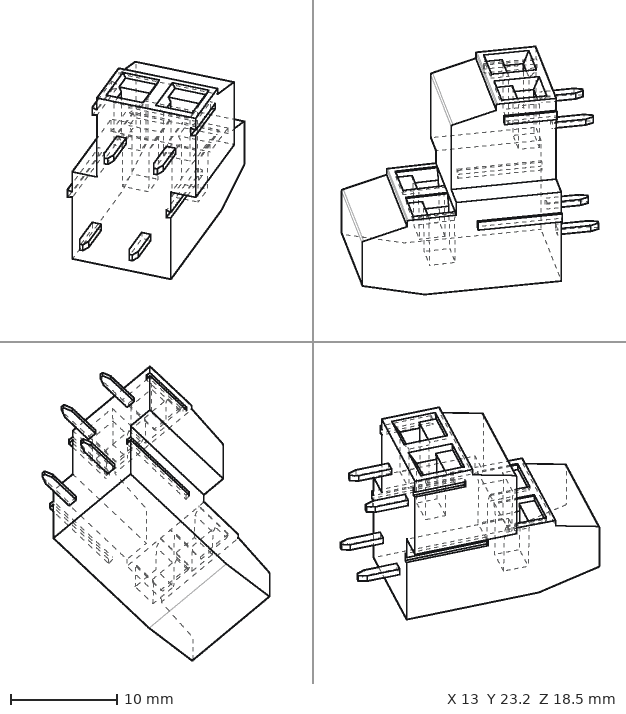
import cadquery as cq
import math


POLES = 2
TIER_WIDTH = 10.0
PITCH = TIER_WIDTH / POLES
TIER_SHIFT = PITCH / 2
TOTAL_HEIGHT = 18.5
LOWER_HEIGHT = 9.7
OVERALL_DEPTH = 23.2
LOWER_DEPTH = 19.16
UPPER_DEPTH = 10.1
SLOPE_RUN = 4.35
STEP_HEIGHT = 0.65
SLOPE = math.radians(15)
BOTTOM_SLOPE_RUN = 6.03
SHELF_HEIGHT = 8.33
SHELF_TILT = 1.0
NOSE_RADIUS = 0.2
STEP_RADIUS = 0.1

RIB_HEIGHT = 0.49
RIB_ROOT_WIDTH = 0.58
RIB_CROWN_WIDTH = 0.85
LOWER_RIB = {"z": 7.17, "length": 8.1}
UPPER_RIB = {"z": 16.9, "length": 5.05}

PIN_LENGTH = OVERALL_DEPTH - LOWER_DEPTH
PIN_WIDTH = 0.93
PIN_THICKNESS = 0.65
PIN_TIP_LENGTH = 0.8
PIN_TIP_WIDTH = 0.32
LOWER_PIN_Z = 4.22
UPPER_PIN_Z = 14.38

POCKET_WIDTH = 3.7
SHAFT_WIDTH = 2.67
FUNNEL_DEPTH = 1.07
POCKET_DEPTH = 5.8
LEDGE_DEPTH = 0.55
UPPER_POCKET_FRONT = 5.1
UPPER_POCKET_LENGTH = 4.32
UPPER_LEDGE_LENGTH = 1.7
UPPER_REAR_FLARE = 0.63
LOWER_POCKET_FRONT = 14.1
LOWER_LEDGE_LENGTH = 1.55
LOWER_RIM_DEPTH = 0.15


def side_prism(outline, x_start):
    """Extrude a Y-Z outline across one tier width."""
    return cq.Workplane("YZ", origin=(x_start, 0, 0)).polyline(outline).close().extrude(TIER_WIDTH)


def round_edge(body, y, z, radius):
    """Round the edge along X that passes nearest to (y, z)."""
    x_middle = body.val().BoundingBox().center.x
    return body.edges("|X").edges(cq.selectors.NearestToPointSelector((x_middle, y, z))).fillet(radius)


def shelf_z(y):
    """Height of the tilted lower top face."""
    return SHELF_HEIGHT - (y - UPPER_DEPTH) * math.tan(math.radians(SHELF_TILT))


def lower_tier():
    step_y = LOWER_DEPTH - SLOPE_RUN
    step_z = shelf_z(step_y)
    nose_top = step_z - STEP_HEIGHT - SLOPE_RUN * math.tan(SLOPE)
    nose_bottom = BOTTOM_SLOPE_RUN * math.tan(SLOPE)
    body = side_prism([
        (0, 0),
        (LOWER_DEPTH - BOTTOM_SLOPE_RUN, 0),
        (LOWER_DEPTH, nose_bottom),
        (LOWER_DEPTH, nose_top),
        (step_y, step_z - STEP_HEIGHT),
        (step_y, step_z),
        (UPPER_DEPTH, SHELF_HEIGHT),
        (UPPER_DEPTH, LOWER_HEIGHT),
        (0, LOWER_HEIGHT),
    ], 0)
    body = round_edge(body, LOWER_DEPTH, nose_bottom, NOSE_RADIUS)
    body = round_edge(body, LOWER_DEPTH, nose_top, NOSE_RADIUS)
    return round_edge(body, step_y, step_z, STEP_RADIUS)


def upper_tier():
    step_y = UPPER_DEPTH - SLOPE_RUN
    nose_top = TOTAL_HEIGHT - STEP_HEIGHT - SLOPE_RUN * math.tan(SLOPE)
    body = side_prism([
        (0, LOWER_HEIGHT),
        (UPPER_DEPTH, LOWER_HEIGHT),
        (UPPER_DEPTH, nose_top),
        (step_y, TOTAL_HEIGHT - STEP_HEIGHT),
        (step_y, TOTAL_HEIGHT),
        (0, TOTAL_HEIGHT),
    ], TIER_SHIFT)
    body = round_edge(body, UPPER_DEPTH, nose_top, NOSE_RADIUS)
    return round_edge(body, step_y, TOTAL_HEIGHT, STEP_RADIUS)


def dovetail(x, rib):
    """Dovetail bar from the pin face, its root at x and its wider crown towards -X."""
    outline = [
        (x, rib["z"] - RIB_ROOT_WIDTH / 2),
        (x, rib["z"] + RIB_ROOT_WIDTH / 2),
        (x - RIB_HEIGHT, rib["z"] + RIB_CROWN_WIDTH / 2),
        (x - RIB_HEIGHT, rib["z"] - RIB_CROWN_WIDTH / 2),
    ]
    return cq.Workplane("XZ").polyline(outline).close().extrude(-rib["length"])


def pin(x, z):
    """Flat pin with a tapered tip, pointing towards -Y."""
    shoulder_y = PIN_TIP_LENGTH - PIN_LENGTH
    outline = [
        (x - PIN_WIDTH / 2, 0),
        (x - PIN_WIDTH / 2, shoulder_y),
        (x - PIN_TIP_WIDTH / 2, -PIN_LENGTH),
        (x + PIN_TIP_WIDTH / 2, -PIN_LENGTH),
        (x + PIN_WIDTH / 2, shoulder_y),
        (x + PIN_WIDTH / 2, 0),
    ]
    base = cq.Workplane("XY", origin=(0, 0, z - PIN_THICKNESS / 2))
    return base.polyline(outline).close().extrude(PIN_THICKNESS)


def block_down(width, length, top_z):
    """Block from top_z to the pocket floor, reaching from Y = 0 towards -Y."""
    top = cq.Workplane("XY", origin=(0, -length / 2, top_z))
    return top.rect(width, length).extrude(-POCKET_DEPTH - top_z)


def pocket(length, ledge_length, rear_flare, rim_depth):
    """Flared pocket going down from the origin, which is the middle of its front rim."""
    shaft_length = length - rear_flare
    shaft_top = -rim_depth - FUNNEL_DEPTH
    funnel = (
        cq.Workplane("XY", origin=(0, -length / 2, -rim_depth))
        .rect(POCKET_WIDTH, length)
        .workplane(offset=-FUNNEL_DEPTH)
        .center(0, rear_flare / 2)
        .rect(SHAFT_WIDTH, shaft_length)
        .loft(ruled=True)
    )
    shaft = block_down(SHAFT_WIDTH, shaft_length, shaft_top)
    ledge = block_down(POCKET_WIDTH, ledge_length, -LEDGE_DEPTH)
    cavity = funnel.union(shaft)
    if rim_depth > 0:
        rim = cq.Workplane("XY", origin=(0, -length / 2, 0)).rect(POCKET_WIDTH, length).extrude(-rim_depth)
        cavity = cavity.union(rim)
    return cavity.cut(ledge)


lower_pocket = pocket(LOWER_POCKET_FRONT - UPPER_DEPTH, LOWER_LEDGE_LENGTH, 0, LOWER_RIM_DEPTH)
lower_pocket = lower_pocket.rotate((0, 0, 0), (1, 0, 0), -SHELF_TILT)
upper_pocket = pocket(UPPER_POCKET_LENGTH, UPPER_LEDGE_LENGTH, UPPER_REAR_FLARE, 0)

result = lower_tier().union(upper_tier())

for side_x, rib in ((0, LOWER_RIB), (TIER_SHIFT, UPPER_RIB)):
    result = result.union(dovetail(side_x, rib))
    result = result.cut(dovetail(side_x + TIER_WIDTH, rib))

for pole in range(POLES):
    lower_x = (pole + 0.5) * PITCH
    upper_x = lower_x + TIER_SHIFT
    lower_rim_z = shelf_z(LOWER_POCKET_FRONT)
    result = result.cut(lower_pocket.translate((lower_x, LOWER_POCKET_FRONT, lower_rim_z)))
    result = result.cut(upper_pocket.translate((upper_x, UPPER_POCKET_FRONT, TOTAL_HEIGHT)))
    result = result.union(pin(lower_x, LOWER_PIN_Z)).union(pin(upper_x, UPPER_PIN_Z))